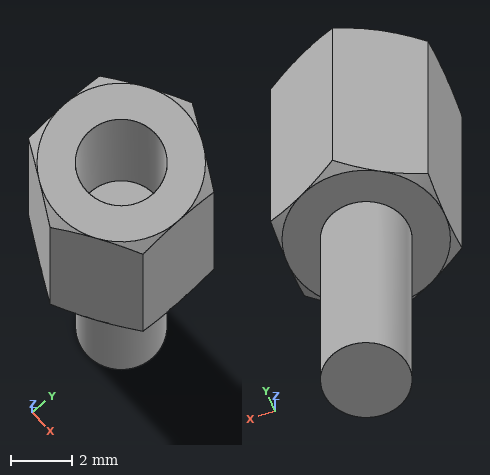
import cadquery as cq
import math

across_flats = 5.5
spacer_height = 8.0
thread_diameter = 3.0
stud_length = 8.0
hole_depth = 2 * thread_diameter
corner_chamfer_angle = 30.0

hex_sides = 6
half_side_angle = 180.0 / hex_sides
across_corners = across_flats / math.cos(math.radians(half_side_angle))
corner_overhang = (across_corners - across_flats) / 2
corner_drop = corner_overhang * math.tan(math.radians(corner_chamfer_angle))


def make_chamfer_envelope():
    """Round blank with coned ends that trims the hexagon corners."""
    return (
        cq.Workplane("XY")
        .circle(across_corners / 2)
        .extrude(spacer_height)
        .faces("<Z or >Z")
        .edges()
        .chamfer(corner_drop, corner_overhang)
    )


def make_spacer():
    """Hexagonal spacer with two corners on the Y axis and a blind hole in its top."""
    hexagon = (
        cq.Workplane("XY")
        .transformed(rotate=(0, 0, half_side_angle))
        .polygon(hex_sides, across_corners)
        .extrude(spacer_height)
    )
    hole = (
        cq.Workplane("XY")
        .workplane(offset=spacer_height)
        .circle(thread_diameter / 2)
        .extrude(-hole_depth)
    )
    return hexagon.intersect(make_chamfer_envelope()).cut(hole)


def make_stud():
    """Plain round stud that meets the underside of the spacer at Z = 0."""
    return cq.Workplane("XY").circle(thread_diameter / 2).extrude(-stud_length)


spacer = make_spacer()
stud = make_stud()
result = cq.Compound.makeCompound([spacer.val(), stud.val()])